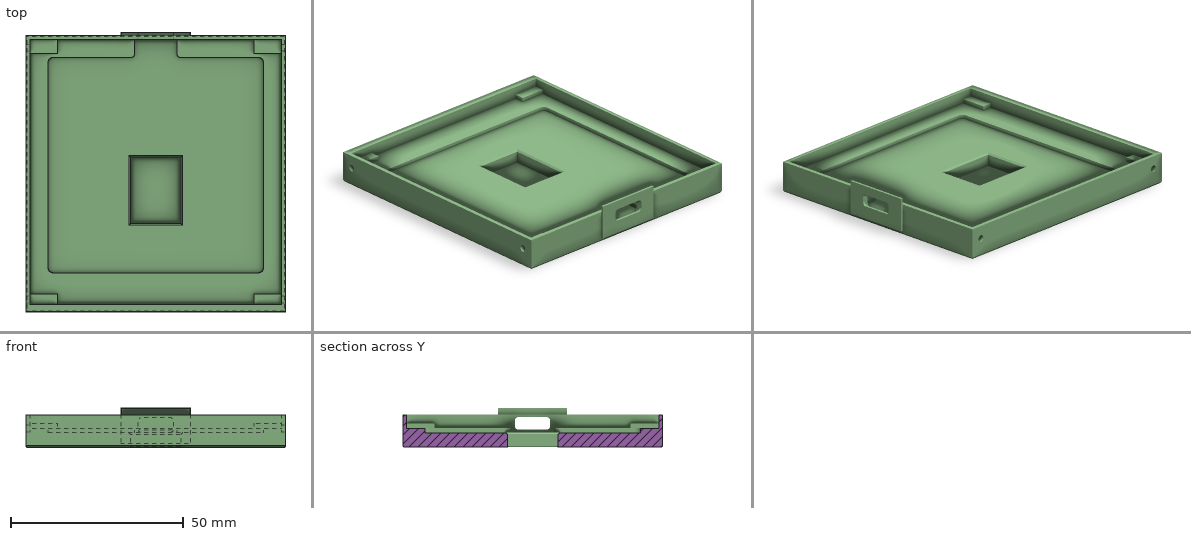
import cadquery as cq

tray_width = 75.2
tray_length = 80.0
overall_length = 80.78
rim_height = 9.4
side_wall = 1.2
front_wall = 2.2
bottom_chamfer_height = 0.5
bottom_chamfer_inset = 0.3

recess_floor = 4.3
ledge_top = 5.55
pad_top = 6.9
pocket_floor = 0.3

recess_size = 62.3
recess_radius = 1.5
recess_front = 11.3
channel_width = 12.3
channel_radius = 1.0

pad_length = 8.0
front_pad_depth = 3.0
back_pad_depth = 4.0

pocket_width = 14.6
pocket_length = 19.2
pocket_center = 35.2
pocket_chamfer = 0.5

tab_width = 20.0
tab_thickness = 0.7
tab_bottom = 1.2
tab_top = 11.4

slot_width = 10.2
slot_top = 8.7
slot_radius = 1.0
sill_height = 0.8

hole_diameter = 2.0
hole_height = 5.5
front_hole_y = 3.6
back_hole_y = 76.4

inner_half = tray_width / 2 - side_wall
inner_back = tray_length - side_wall
tab_inner = overall_length - tab_thickness


def block(x_range, y_range, z_range):
    """Axis-aligned box given by its limits along X, Y and Z."""
    size = [high - low for low, high in (x_range, y_range, z_range)]
    corner = (x_range[0], y_range[0], z_range[0])
    return cq.Workplane("XY").box(*size, centered=False).translate(corner)


def tray_body():
    """Solid block whose lower outer edges taper inward."""
    half = tray_width / 2
    body = block((-half, half), (0, tray_length), (0, rim_height))
    return body.faces("<Z").chamfer(bottom_chamfer_height, bottom_chamfer_inset)


def cavity():
    """Open space above the ledge."""
    return block((-inner_half, inner_half), (front_wall, inner_back), (ledge_top, rim_height))


def recess():
    """Rounded square recess joined to a channel that reaches the back wall."""
    half = recess_size / 2
    back = recess_front + recess_size
    depth = (recess_floor, ledge_top)
    square = block((-half, half), (recess_front, back), depth)
    square = square.edges("|Z").fillet(recess_radius)
    channel = block((-channel_width / 2, channel_width / 2), (back - recess_radius, inner_back), depth)
    shape = square.union(channel)
    junctions = cq.selectors.BoxSelector(
        (-channel_width, back - channel_radius, 0),
        (channel_width, back + channel_radius, rim_height),
    )
    return shape.edges("|Z").edges(junctions).fillet(channel_radius)


def corner_pads():
    """Raised pads in the four inner corners, resting on the ledge."""
    x_ranges = ((-inner_half, pad_length - inner_half), (inner_half - pad_length, inner_half))
    y_ranges = ((front_wall, front_wall + front_pad_depth), (inner_back - back_pad_depth, inner_back))
    pads = cq.Workplane("XY")
    for x_range in x_ranges:
        for y_range in y_ranges:
            pads = pads.union(block(x_range, y_range, (ledge_top, pad_top)))
    return pads


def pocket():
    """Rectangular pocket with a chamfered mouth."""
    depth = recess_floor - pocket_floor
    straight = (
        cq.Workplane("XY", origin=(0, pocket_center, pocket_floor))
        .rect(pocket_width, pocket_length)
        .extrude(depth)
    )
    mouth = (
        cq.Workplane("XY", origin=(0, pocket_center, recess_floor))
        .rect(pocket_width + 2 * pocket_chamfer, pocket_length + 2 * pocket_chamfer)
        .workplane(offset=-pocket_chamfer)
        .rect(pocket_width, pocket_length)
        .loft()
    )
    return straight.union(mouth)


def back_tab():
    """Upright tab and the rim-height spacer that joins it to the back wall."""
    half = tab_width / 2
    plate = block((-half, half), (tab_inner, overall_length), (tab_bottom, tab_top))
    spacer = block((-half, half), (inner_back, tab_inner), (tab_bottom, rim_height))
    return plate.union(spacer)


def rounded_slot(y_range, z_range):
    """Slot along Y with rounded corners, centred on the tray width."""
    half = slot_width / 2
    return block((-half, half), y_range, z_range).edges("|Y").fillet(slot_radius)


def back_slot():
    """Slot flush with the recess floor behind the tab, with a raised sill in the tab itself."""
    behind_tab = rounded_slot((inner_back, tab_inner), (recess_floor, slot_top))
    through_tab = rounded_slot((tab_inner, overall_length), (recess_floor + sill_height, slot_top))
    return behind_tab.union(through_tab)


def side_holes():
    """Holes through the thickness of both side walls, closed on the inside by the corner pads."""
    holes = cq.Workplane("XY")
    for wall_start in (-tray_width / 2, inner_half):
        pair = (
            cq.Workplane("YZ", origin=(wall_start, 0, 0))
            .pushPoints([(front_hole_y, hole_height), (back_hole_y, hole_height)])
            .circle(hole_diameter / 2)
            .extrude(side_wall)
        )
        holes = holes.union(pair)
    return holes


result = tray_body().cut(cavity()).cut(recess()).union(corner_pads())
result = result.cut(pocket()).union(back_tab()).cut(back_slot()).cut(side_holes())